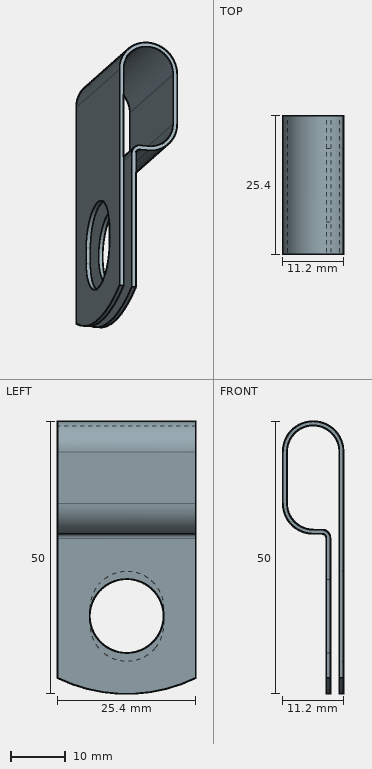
import cadquery as cq
import math

width = 11.15
depth = 25.4
height = 50.0
thickness = 0.8

loop_radius = width / 2
loop_straight = 9.5
leg_gap = 1.6
bend_inner_radius = 0.8

hole_diameter = 13.5
slot_travel = 3.0
hole_height = 14.3
end_rise = 2.95

upper_center_z = height - loop_radius
lower_center_z = upper_center_z - loop_straight
shelf_bottom_z = lower_center_z - loop_radius
short_leg_right = loop_radius - thickness - leg_gap
short_leg_left = short_leg_right - thickness
mid_gap_x = short_leg_right + leg_gap / 2
bend_center_x = short_leg_left - bend_inner_radius
bend_center_z = shelf_bottom_z - bend_inner_radius


def arc_point(center_x, center_z, radius, angle):
    """Point on a circle in the XZ plane, angle in degrees from +X."""
    radians = math.radians(angle)
    return (center_x + radius * math.cos(radians), center_z + radius * math.sin(radians))


def bent_strip():
    """Constant-thickness strip bent into a loop with one long and one short leg."""
    inner_radius = loop_radius - thickness
    bend_outer_radius = bend_inner_radius + thickness
    section = (
        cq.Workplane("XZ", origin=(0, depth / 2, 0))
        .moveTo(loop_radius, 0)
        .lineTo(loop_radius, upper_center_z)
        .threePointArc((0, height), (-loop_radius, upper_center_z))
        .lineTo(-loop_radius, lower_center_z)
        .threePointArc(arc_point(0, lower_center_z, loop_radius, 225), (0, shelf_bottom_z))
        .lineTo(bend_center_x, shelf_bottom_z)
        .threePointArc(
            arc_point(bend_center_x, bend_center_z, bend_inner_radius, 45),
            (short_leg_left, bend_center_z),
        )
        .lineTo(short_leg_left, 0)
        .lineTo(short_leg_right, 0)
        .lineTo(short_leg_right, bend_center_z)
        .threePointArc(
            arc_point(bend_center_x, bend_center_z, bend_outer_radius, 45),
            (bend_center_x, shelf_bottom_z + thickness),
        )
        .lineTo(0, shelf_bottom_z + thickness)
        .threePointArc(
            arc_point(0, lower_center_z, inner_radius, 225),
            (-inner_radius, lower_center_z),
        )
        .lineTo(-inner_radius, upper_center_z)
        .threePointArc((0, height - thickness), (inner_radius, upper_center_z))
        .lineTo(inner_radius, 0)
        .close()
    )
    return section.extrude(depth)


def side_outline():
    """Block across X whose lower end is rounded like the leg ends."""
    return (
        cq.Workplane("YZ", origin=(-loop_radius, 0, 0))
        .moveTo(-depth / 2, height)
        .lineTo(-depth / 2, end_rise)
        .threePointArc((0, 0), (depth / 2, end_rise))
        .lineTo(depth / 2, height)
        .close()
        .extrude(width)
    )


def round_hole():
    """Cylinder across X passing through the short leg only."""
    return (
        cq.Workplane("YZ", origin=(-loop_radius, 0, hole_height))
        .circle(hole_diameter / 2)
        .extrude(mid_gap_x + loop_radius)
    )


def slotted_hole():
    """Slot across X, elongated along Z, passing through the long leg only."""
    return (
        cq.Workplane("YZ", origin=(mid_gap_x, 0, hole_height))
        .slot2D(hole_diameter + slot_travel, hole_diameter, 90)
        .extrude(loop_radius - mid_gap_x)
    )


result = bent_strip().intersect(side_outline()).cut(round_hole()).cut(slotted_hole())